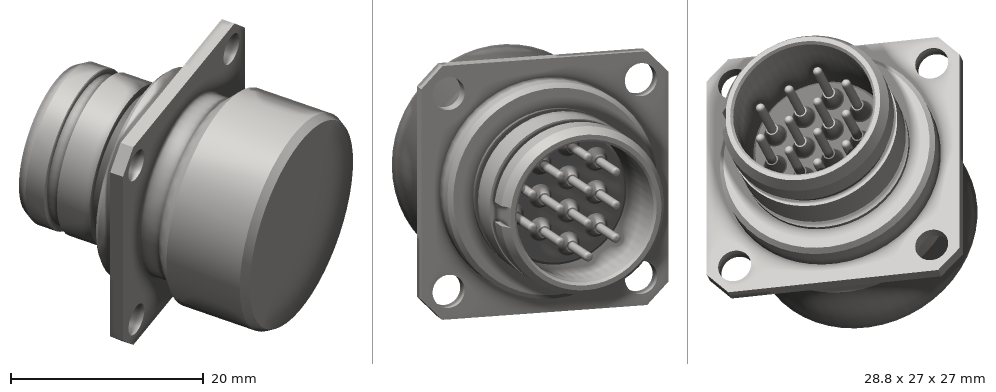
import cadquery as cq
import math


LENGTH = 28.8
NOSE_CHAMFER = 1.15
NOSE_END = 3.4
RING_START = 4.8
RING_END = 8.6
SHOULDER_START = 10.05
COLLAR_START = 10.5
FLANGE_START = 13.5
FLANGE_END = 15.0
NECK_END = 17.37
REAR_CHAMFER = 0.9

SHELL_RADIUS = 8.93
SHOULDER_RADIUS = 8.87
FRONT_GROOVE_RADIUS = 8.3
REAR_GROOVE_RADIUS = 8.05
COLLAR_RADIUS = 11.5
NECK_RADIUS = 10.02
BODY_RADIUS = 11.95

NOSE_EDGE_BREAK = 0.1
COLLAR_CHAMFER = 0.5
NECK_FILLET = 0.3
SHALLOW_ANGLE = math.radians(30)

FLANGE_SIDE = 27.0
FLANGE_CORNER = 2.3
HOLE_DIAMETER = 3.5
HOLE_SPACING = 21.02

BORE_RADIUS = 7.5
BORE_CHAMFER = 0.25
INSERT_FACE = 8.93
INSERT_CHAMFER = 0.3

SLOT_WIDTH = 2.13
SLOT_FLOOR = 8.2

PIN_PITCH = 3.5
PIN_RADIUS = 0.5
PIN_TIP = 2.02
PIN_TIP_FILLET = 0.35
BOSS_BASE_RADIUS = 1.27
BOSS_TOP_RADIUS = 0.63
BOSS_HEIGHT = 1.47
BOSS_FOOT_FLARE = 0.12


def make_shell():
    """Turned outside of the connector, with the concave fillet behind the flange."""
    nose_front_radius = SHELL_RADIUS - NOSE_CHAMFER * math.tan(SHALLOW_ANGLE)
    rear_end_radius = BODY_RADIUS - REAR_CHAMFER * math.tan(SHALLOW_ANGLE)
    cone_end = NECK_END + BODY_RADIUS - NECK_RADIUS
    fillet_reach = NECK_FILLET * (1 - math.sqrt(0.5))
    return (
        cq.Workplane("XY")
        .lineTo(0, nose_front_radius)
        .lineTo(NOSE_CHAMFER, SHELL_RADIUS)
        .lineTo(NOSE_END - NOSE_EDGE_BREAK, SHELL_RADIUS)
        .lineTo(NOSE_END, SHELL_RADIUS - NOSE_EDGE_BREAK)
        .lineTo(NOSE_END, FRONT_GROOVE_RADIUS)
        .lineTo(RING_START, FRONT_GROOVE_RADIUS)
        .lineTo(RING_START, SHELL_RADIUS)
        .lineTo(RING_END, SHELL_RADIUS)
        .lineTo(RING_END, REAR_GROOVE_RADIUS)
        .lineTo(SHOULDER_START, REAR_GROOVE_RADIUS)
        .lineTo(SHOULDER_START, SHOULDER_RADIUS)
        .lineTo(COLLAR_START, SHOULDER_RADIUS)
        .lineTo(COLLAR_START, COLLAR_RADIUS - COLLAR_CHAMFER)
        .lineTo(COLLAR_START + COLLAR_CHAMFER, COLLAR_RADIUS)
        .lineTo(FLANGE_START, COLLAR_RADIUS)
        .lineTo(FLANGE_START, NECK_RADIUS + NECK_FILLET)
        .lineTo(FLANGE_END, NECK_RADIUS + NECK_FILLET)
        .threePointArc(
            (FLANGE_END + fillet_reach, NECK_RADIUS + fillet_reach),
            (FLANGE_END + NECK_FILLET, NECK_RADIUS),
        )
        .lineTo(NECK_END, NECK_RADIUS)
        .lineTo(cone_end, BODY_RADIUS)
        .lineTo(LENGTH - REAR_CHAMFER, BODY_RADIUS)
        .lineTo(LENGTH, rear_end_radius)
        .lineTo(LENGTH, 0)
        .close()
        .revolve(360, (0, 0, 0), (1, 0, 0))
    )


def make_flange():
    """Square plate with chamfered corners and four through holes."""
    return (
        cq.Workplane("YZ", origin=(FLANGE_START, 0, 0))
        .rect(FLANGE_SIDE, FLANGE_SIDE)
        .extrude(FLANGE_END - FLANGE_START)
        .edges("|X")
        .chamfer(FLANGE_CORNER)
        .faces("<X")
        .workplane(origin=(FLANGE_START, 0, 0))
        .rect(HOLE_SPACING, HOLE_SPACING, forConstruction=True)
        .vertices()
        .hole(HOLE_DIAMETER)
    )


def make_socket():
    """Bore cutter: chamfered mouth, and a groove round the chamfered insert face."""
    return (
        cq.Workplane("XY")
        .lineTo(0, BORE_RADIUS + BORE_CHAMFER)
        .lineTo(BORE_CHAMFER, BORE_RADIUS)
        .lineTo(INSERT_FACE + INSERT_CHAMFER, BORE_RADIUS)
        .lineTo(INSERT_FACE, BORE_RADIUS - INSERT_CHAMFER)
        .lineTo(INSERT_FACE, 0)
        .close()
        .revolve(360, (0, 0, 0), (1, 0, 0))
    )


def make_key_slot():
    """Flat-floored slot from the front end to the ring behind the front groove."""
    slot_depth = SHELL_RADIUS - SLOT_FLOOR
    return (
        cq.Workplane("XY", origin=(0, SLOT_FLOOR, 0))
        .box(RING_START, slot_depth, SLOT_WIDTH, centered=(False, False, True))
    )


def make_contact():
    """Pin with a filleted tip and its tapered boss, on the X axis."""
    fillet_end = PIN_TIP + PIN_TIP_FILLET
    fillet_centre_radius = PIN_RADIUS - PIN_TIP_FILLET
    fillet_middle = PIN_TIP_FILLET * math.sqrt(0.5)
    boss_top = INSERT_FACE - BOSS_HEIGHT
    root = INSERT_FACE + INSERT_CHAMFER
    return (
        cq.Workplane("XY")
        .moveTo(PIN_TIP, 0)
        .lineTo(PIN_TIP, fillet_centre_radius)
        .threePointArc(
            (fillet_end - fillet_middle, fillet_centre_radius + fillet_middle),
            (fillet_end, PIN_RADIUS),
        )
        .lineTo(boss_top, PIN_RADIUS)
        .lineTo(boss_top, BOSS_TOP_RADIUS)
        .lineTo(INSERT_FACE - BOSS_FOOT_FLARE, BOSS_BASE_RADIUS - BOSS_FOOT_FLARE)
        .lineTo(INSERT_FACE, BOSS_BASE_RADIUS)
        .lineTo(root, BOSS_BASE_RADIUS)
        .lineTo(root, 0)
        .close()
        .revolve(360, (0, 0, 0), (1, 0, 0))
    )


def contact_positions():
    """Triangular grid in columns along Z, with one triangle of contacts centred on the axis."""
    column_step = PIN_PITCH * math.sqrt(3) / 2
    first_column_y = -4 / 3 * column_step
    contacts_per_column = (3, 4, 3, 2)
    for column, count in enumerate(contacts_per_column):
        for row in range(count):
            yield first_column_y + column * column_step, (row - (count - 1) / 2) * PIN_PITCH


result = make_shell().union(make_flange()).cut(make_socket()).cut(make_key_slot())
contact = make_contact()
for contact_y, contact_z in contact_positions():
    result = result.union(contact.translate((0, contact_y, contact_z)))